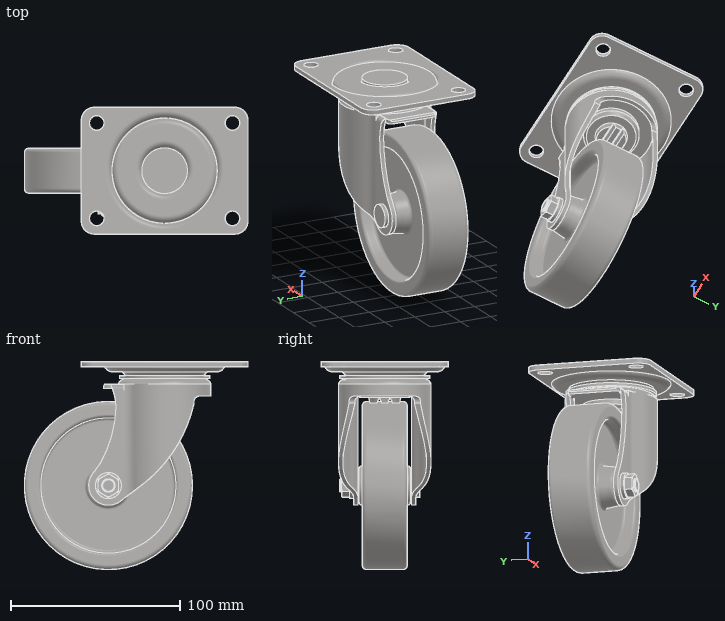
import cadquery as cq
import math


wheel_radius = 49.7
wheel_offset = 33.2
axle_height = -73.0
axle_x = -wheel_offset
shaft_radius = 4.0

plate_length = 98.5
plate_width = 75.0
plate_thickness = 3.0
plate_corner_radius = 7.9
bolt_hole_radius = 4.2
bolt_hole_x = 40.0
bolt_hole_y = 28.1
groove_radius = 31.0
groove_bend = 4.0
groove_floor = 0.1
dish_top_radius = 35.4
dish_mid_radius = 34.0
dish_mid_z = -4.9
dish_bottom_radius = 30.6
dish_bottom_z = -6.1
neck_top_radius = 25.1
neck_bottom_radius = 23.1
seal_radius = 26.7
seal_top_z = -8.2
seal_bottom_z = -10.0

cap_radius = 13.5
cap_depth = 5.3
pin_radius = 7.9
race_radius = 16.5
race_edge_z = -18.9
race_bottom_radius = 14.7
race_bottom_z = -21.3
tail_top_radius = 9.5
tail_bottom_radius = 8.7
tail_bottom_z = -24.5
tail_notch_y = 3.2
tail_notch_half_width = 1.5

sheet = 2.6
leg_inner_y = 15.7
leg_outer_y = leg_inner_y + sheet
skirt_radius = 27.3
skirt_inner_radius = skirt_radius - sheet
crown_top_z = seal_bottom_z
crown_flat_radius = 24.0
shoulder_mid_radius = 26.2
shoulder_mid_z = -11.2
crown_edge_z = -13.2
crown_under_z = crown_edge_z - sheet
leg_bend_x = -24.0
leg_bottom_z = -85.9
skirt_bottom_z = -20.3
rear_notch_x = 20.3
rear_corner_mid = (18.4, -21.3)
rear_edge_top = (17.5, -24.5)
rear_edge_mid = (6.2, -51.4)
rear_edge_bottom = (-12.8, -72.3)
front_edge_bottom = (-37.9, -60.0)
front_edge_mid = (-31.7, -45.3)
front_waist = (-28.7, -26.4)
front_neck_mid = (-29.5, -20.9)
front_edge_top_x = -32.0
leg_end_radius = 11.6
fold_radius = 3.5
tab_tip_x = -35.9
tab_half_width = 15.9
tab_corner_radius = 2.6
tab_bevel_depth = 0.5
tab_bevel_height = 1.2

wheel_half_width = 13.3
tread_fillet = 2.6
rim_radius = 39.9
rim_fillet = 2.0
web_half_width = 5.5
hub_root_radius = 12.8
hub_tip_radius = 11.4
hub_half_width = 15.2
hub_root_fillet = 1.7
hub_tip_fillet = 1.6

washer_radius = 7.7
washer_thickness = 2.4
nut_across_flats = 12.2
nut_height = 4.8
nut_chamfer = 0.5
thread_length = 1.2
thread_chamfer = 0.5
head_radius = 7.0
head_thickness = 2.4


def cylinder(radius, top_z, bottom_z):
    """Cylinder on the swivel axis."""
    return cq.Workplane("XY", origin=(0, 0, bottom_z)).circle(radius).extrude(top_z - bottom_z)


def axle_cylinder(radius, start_y, end_y):
    """Cylinder on the axle axis, between two Y positions."""
    plane = cq.Workplane("XZ", origin=(axle_x, end_y, axle_height))
    return plane.circle(radius).extrude(end_y - start_y)


def make_plate():
    blank = (
        cq.Workplane("XY", origin=(0, 0, -plate_thickness))
        .rect(plate_length, plate_width)
        .extrude(plate_thickness)
        .edges("|Z").fillet(plate_corner_radius)
    )
    dish = (
        cq.Workplane("XZ")
        .moveTo(0, -plate_thickness)
        .lineTo(dish_top_radius, -plate_thickness)
        .threePointArc((dish_mid_radius, dish_mid_z), (dish_bottom_radius, dish_bottom_z))
        .lineTo(neck_top_radius, dish_bottom_z)
        .lineTo(neck_bottom_radius, seal_top_z)
        .lineTo(seal_radius, seal_top_z)
        .lineTo(seal_radius, seal_bottom_z)
        .lineTo(0, seal_bottom_z)
        .close()
        .revolve(360, (0, 0), (0, 1))
    )
    plate = blank.union(dish)

    side_reach = groove_floor / 2
    bend_mid = groove_bend * math.sqrt(0.5)
    inner_edge = groove_radius - side_reach - groove_bend
    outer_edge = groove_radius + side_reach + groove_bend
    groove = (
        cq.Workplane("XZ")
        .moveTo(inner_edge, 0)
        .threePointArc(
            (inner_edge + bend_mid, bend_mid - groove_bend),
            (inner_edge + groove_bend, -groove_bend),
        )
        .lineTo(outer_edge - groove_bend, -groove_bend)
        .threePointArc((outer_edge - bend_mid, bend_mid - groove_bend), (outer_edge, 0))
        .close()
        .revolve(360, (0, 0), (0, 1))
    )

    mouth_radius = cap_radius + groove_bend
    recess = (
        cq.Workplane("XZ")
        .lineTo(mouth_radius, 0)
        .threePointArc((mouth_radius - bend_mid, bend_mid - groove_bend), (cap_radius, -groove_bend))
        .lineTo(cap_radius, -cap_depth)
        .lineTo(0, -cap_depth)
        .close()
        .revolve(360, (0, 0), (0, 1))
    )
    bolt_holes = (
        cq.Workplane("XY", origin=(0, 0, -plate_thickness))
        .rect(2 * bolt_hole_x, 2 * bolt_hole_y, forConstruction=True)
        .vertices()
        .circle(bolt_hole_radius)
        .extrude(plate_thickness)
    )
    pin_hole = cylinder(pin_radius, -cap_depth, seal_bottom_z)
    return plate.cut(groove).cut(recess).cut(bolt_holes).cut(pin_hole)


def make_kingpin():
    pin = (
        cq.Workplane("XZ")
        .lineTo(cap_radius, 0)
        .lineTo(cap_radius, -cap_depth)
        .lineTo(pin_radius, -cap_depth)
        .lineTo(pin_radius, crown_under_z)
        .lineTo(race_radius, crown_under_z)
        .lineTo(race_radius, race_edge_z)
        .lineTo(race_bottom_radius, race_bottom_z)
        .lineTo(tail_top_radius, race_bottom_z)
        .lineTo(tail_bottom_radius, tail_bottom_z)
        .lineTo(0, tail_bottom_z)
        .close()
        .revolve(360, (0, 0), (0, 1))
    )
    for notch_y in (-tail_notch_y, tail_notch_y):
        notch = (
            cq.Workplane("YZ", origin=(-race_radius, 0, 0))
            .moveTo(notch_y, race_bottom_z)
            .lineTo(notch_y - tail_notch_half_width, tail_bottom_z)
            .lineTo(notch_y + tail_notch_half_width, tail_bottom_z)
            .close()
            .extrude(2 * race_radius)
        )
        pin = pin.cut(notch)
    return pin


def fork_plan(radius, flat_y, top_z):
    """Round skirt whose sides bend in an S into flat legs; flat_y is half the width of the flats."""
    bend = (leg_bend_x**2 + flat_y**2 - radius**2) / (2 * (radius - flat_y))
    share = radius / (radius + bend)
    join_x = leg_bend_x * share
    join_y = (flat_y + bend) * share
    half_turn = math.atan2(-leg_bend_x, flat_y + bend) / 2
    mid_x = leg_bend_x + bend * math.sin(half_turn)
    mid_y = flat_y + bend * (1 - math.cos(half_turn))
    return (
        cq.Workplane("XY", origin=(0, 0, leg_bottom_z))
        .moveTo(leg_bend_x, -flat_y)
        .threePointArc((mid_x, -mid_y), (join_x, -join_y))
        .threePointArc((radius, 0), (join_x, join_y))
        .threePointArc((mid_x, mid_y), (leg_bend_x, flat_y))
        .close()
        .extrude(top_z - leg_bottom_z)
    )


def leg_channel(flat_y, top_z, fold):
    """Straight front of the legs and the crown between them, folded with a round edge."""
    front_x = axle_x - 2 * leg_end_radius
    return (
        cq.Workplane("XY", origin=((front_x + leg_bend_x) / 2, 0, leg_bottom_z))
        .rect(leg_bend_x - front_x, 2 * flat_y)
        .extrude(top_z - leg_bottom_z)
        .edges("|X and >Z").fillet(fold)
    )


def leg_end_tangent(point, side):
    """Tangent point on the round leg end for a line from point; side is 1 or -1."""
    dx = point[0] - axle_x
    dz = point[1] - axle_height
    angle = math.atan2(dz, dx) + side * math.acos(leg_end_radius / math.hypot(dx, dz))
    return (axle_x + leg_end_radius * math.cos(angle), axle_height + leg_end_radius * math.sin(angle))


def fork_side_outline():
    """Side shape of the fork, extruded across its full width."""
    return (
        cq.Workplane("XZ", origin=(0, skirt_radius, 0))
        .moveTo(skirt_radius, crown_edge_z)
        .lineTo(skirt_radius, skirt_bottom_z)
        .lineTo(rear_notch_x, skirt_bottom_z)
        .threePointArc(rear_corner_mid, rear_edge_top)
        .threePointArc(rear_edge_mid, rear_edge_bottom)
        .lineTo(*leg_end_tangent(rear_edge_bottom, -1))
        .threePointArc(
            (axle_x, axle_height - leg_end_radius),
            leg_end_tangent(front_edge_bottom, 1),
        )
        .lineTo(*front_edge_bottom)
        .threePointArc(front_edge_mid, front_waist)
        .threePointArc(front_neck_mid, (front_edge_top_x, crown_edge_z))
        .close()
        .extrude(2 * skirt_radius)
    )


def make_tab():
    """Front tab of the crown, with rounded corners and a bevelled front edge."""
    tab_length = leg_bend_x - tab_tip_x
    plan = (
        cq.Workplane("XY", origin=(tab_tip_x + tab_length / 2, 0, crown_under_z))
        .rect(tab_length, 2 * tab_half_width)
        .extrude(sheet)
        .edges("|Z and <X").fillet(tab_corner_radius)
    )
    side = (
        cq.Workplane("XZ", origin=(0, tab_half_width, 0))
        .moveTo(tab_tip_x, crown_under_z)
        .lineTo(leg_bend_x, crown_under_z)
        .lineTo(leg_bend_x, crown_edge_z)
        .lineTo(tab_tip_x + tab_bevel_depth, crown_edge_z)
        .lineTo(tab_tip_x, crown_edge_z - tab_bevel_height)
        .close()
        .extrude(2 * tab_half_width)
    )
    return plan.intersect(side)


def make_fork():
    outside = fork_plan(skirt_radius, leg_outer_y, crown_edge_z)
    outside = outside.union(leg_channel(leg_outer_y, crown_edge_z, fold_radius))
    inside = fork_plan(skirt_inner_radius, leg_inner_y, crown_under_z)
    inside = inside.union(leg_channel(leg_inner_y, crown_under_z, fold_radius - sheet))
    body = outside.cut(inside).intersect(fork_side_outline())

    shoulder = (
        cq.Workplane("XZ")
        .moveTo(0, crown_top_z)
        .lineTo(crown_flat_radius, crown_top_z)
        .threePointArc((shoulder_mid_radius, shoulder_mid_z), (skirt_radius, crown_edge_z))
        .lineTo(0, crown_edge_z)
        .close()
        .revolve(360, (0, 0), (0, 1))
    )
    tab = make_tab()
    axle_hole = axle_cylinder(shaft_radius, -skirt_radius, skirt_radius)
    pin_hole = cylinder(pin_radius, crown_top_z, crown_under_z)
    return body.union(shoulder).union(tab).cut(axle_hole).cut(pin_hole)


def round_circle_edge(solid, radius, y, size):
    """Fillet the circular edge of this radius, centred on the Y axis at y."""
    circle = min(
        solid.edges("%CIRCLE").vals(),
        key=lambda edge: abs(edge.radius() - radius) + abs(edge.Center().y - y),
    )
    return solid.newObject([circle]).fillet(size)


def make_wheel():
    half_outline = [
        (wheel_radius, wheel_half_width),
        (rim_radius, wheel_half_width),
        (rim_radius, web_half_width),
        (hub_root_radius, web_half_width),
        (hub_tip_radius, hub_half_width),
        (shaft_radius, hub_half_width),
    ]
    mirrored_half = [(radius, -y) for radius, y in reversed(half_outline)]
    wheel = cq.Workplane("XY").polyline(half_outline + mirrored_half).close()
    wheel = wheel.revolve(360, (0, 0), (0, 1))
    for side in (1, -1):
        wheel = round_circle_edge(wheel, wheel_radius, side * wheel_half_width, tread_fillet)
        wheel = round_circle_edge(wheel, rim_radius, side * wheel_half_width, rim_fillet)
        wheel = round_circle_edge(wheel, rim_radius, side * web_half_width, rim_fillet)
        wheel = round_circle_edge(wheel, hub_root_radius, side * web_half_width, hub_root_fillet)
        wheel = round_circle_edge(wheel, hub_tip_radius, side * hub_half_width, hub_tip_fillet)
    return wheel.translate((axle_x, 0, axle_height))


def make_axle():
    washer_end = -leg_outer_y - washer_thickness
    nut_end = washer_end - nut_height
    shaft_end = nut_end - thread_length
    head_end = leg_outer_y + head_thickness

    shaft = axle_cylinder(shaft_radius, shaft_end, head_end).faces("<Y").chamfer(thread_chamfer)
    head = axle_cylinder(head_radius, leg_outer_y, head_end)
    washer = axle_cylinder(washer_radius, washer_end, -leg_outer_y)
    corner_diameter = nut_across_flats / math.cos(math.pi / 6)
    nut = (
        cq.Workplane("XZ", origin=(axle_x, washer_end, axle_height))
        .transformed(rotate=(0, 0, 90))
        .polygon(6, corner_diameter)
        .extrude(nut_height)
    )
    nut_cone = axle_cylinder(corner_diameter / 2, nut_end, washer_end).faces("<Y").chamfer(nut_chamfer)
    return shaft.union(head).union(washer).union(nut.intersect(nut_cone))


plate = make_plate()
kingpin = make_kingpin()
fork = make_fork()
wheel = make_wheel()
axle = make_axle()

result = cq.Compound.makeCompound([plate.val(), kingpin.val(), fork.val(), wheel.val(), axle.val()])